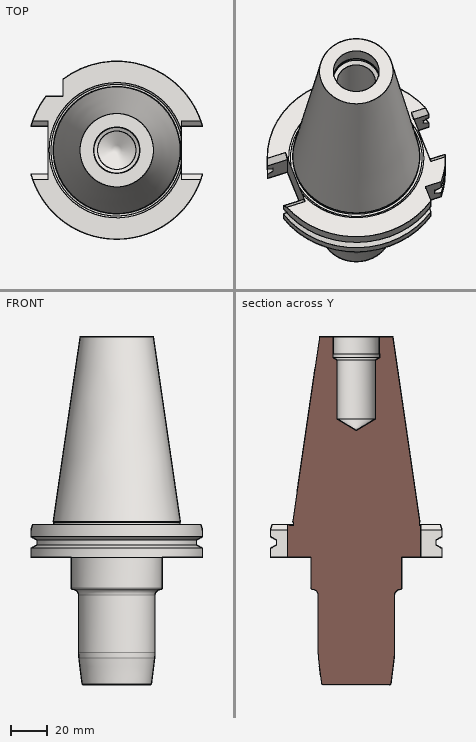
import cadquery as cq
import math


gauge_diameter = 69.85
taper_length = 101.75
taper_ratio = 7 / 24
taper_end_chamfer = 0.5
neck_diameter = 69.25

flange_diameter = 97.5
flange_top = -1.0
flange_bottom = -19.05
seat_relief_diameter = 74.0
seat_relief_floor_diameter = 72.0
seat_relief_depth = 0.5
groove_diameter = 91.25
groove_center = -10.9
groove_mouth = 6.3
groove_flank_angle = 30

slot_width = 26.0
slot_chamfer = 3.0
slot_floor_left = 37.7
slot_floor_right = 35.4
notch_x = 29.5
notch_y = 29.6

overall_length = 190.6
collar_diameter = 50.0
collar_shoulder = -36.7
collar_edge_radius = 1.0
nose_diameter = 42.0
nose_root_radius = (collar_diameter - nose_diameter) / 2 - collar_edge_radius
nose_taper_angle = 7.0
nose_taper_start = 17.8
nose_blend_radius = 25.0
nose_edge_radius = 1.0

pilot_diameter = 25.01
pilot_depth = 9.5
relief_diameter = 25.46
relief_depth = 11.5
lead_angle = 30
stud_hole_diameter = 21.0
stud_hole_depth = 45.0
drill_point_angle = 118

body_bottom = taper_length - overall_length


def radius_on_taper(height):
    return (gauge_diameter - taper_ratio * height) / 2


def make_body():
    """Revolve the outer profile, without the flange groove."""
    neck_radius = neck_diameter / 2
    flange_radius = flange_diameter / 2
    collar_radius = collar_diameter / 2
    nose_radius = nose_diameter / 2
    diagonal = math.sqrt(0.5)

    shoulder_radius = collar_radius - collar_edge_radius
    edge_mid = (
        shoulder_radius + collar_edge_radius * diagonal,
        collar_shoulder + collar_edge_radius * (1 - diagonal),
    )
    root_center_radius = nose_radius + nose_root_radius
    root_mid = (
        root_center_radius - nose_root_radius * diagonal,
        collar_shoulder - nose_root_radius * (1 - diagonal),
    )

    angle = math.radians(nose_taper_angle)
    blend_top = body_bottom + nose_taper_start
    blend_center = nose_radius - nose_blend_radius

    def blend_point(turn):
        return (
            blend_center + nose_blend_radius * math.cos(turn),
            blend_top - nose_blend_radius * math.sin(turn),
        )

    blend_end = blend_point(angle)
    bottom_center_z = body_bottom + nose_edge_radius
    cone_radius = blend_end[0] - (blend_end[1] - bottom_center_z) * math.tan(angle)
    bottom_center_radius = cone_radius - nose_edge_radius / math.cos(angle)

    def bottom_edge_point(turn):
        return (
            bottom_center_radius + nose_edge_radius * math.cos(turn),
            bottom_center_z - nose_edge_radius * math.sin(turn),
        )

    bottom_mid_turn = (angle + math.pi / 2) / 2

    return (
        cq.Workplane("XZ")
        .moveTo(0, taper_length)
        .lineTo(radius_on_taper(taper_length), taper_length)
        .lineTo(radius_on_taper(taper_end_chamfer), taper_end_chamfer)
        .lineTo(neck_radius, 0)
        .lineTo(neck_radius, flange_top - seat_relief_depth)
        .lineTo(seat_relief_floor_diameter / 2, flange_top - seat_relief_depth)
        .lineTo(seat_relief_diameter / 2, flange_top)
        .lineTo(flange_radius, flange_top)
        .lineTo(flange_radius, flange_bottom)
        .lineTo(collar_radius, flange_bottom)
        .lineTo(collar_radius, collar_shoulder + collar_edge_radius)
        .threePointArc(edge_mid, (shoulder_radius, collar_shoulder))
        .threePointArc(root_mid, (nose_radius, collar_shoulder - nose_root_radius))
        .lineTo(nose_radius, blend_top)
        .threePointArc(blend_point(angle / 2), blend_end)
        .lineTo(*bottom_edge_point(angle))
        .threePointArc(bottom_edge_point(bottom_mid_turn), (bottom_center_radius, body_bottom))
        .lineTo(0, body_bottom)
        .close()
        .revolve(360, (0, 0), (0, 1))
    )


def make_gripper_groove():
    """Ring with a trapezoidal section around the flange."""
    floor_radius = groove_diameter / 2
    mouth_radius = flange_diameter / 2
    flank_height = (mouth_radius - floor_radius) * math.tan(math.radians(groove_flank_angle))
    half_mouth = groove_mouth / 2
    half_floor = half_mouth - flank_height
    return (
        cq.Workplane("XZ")
        .moveTo(mouth_radius, groove_center + half_mouth)
        .lineTo(floor_radius, groove_center + half_floor)
        .lineTo(floor_radius, groove_center - half_floor)
        .lineTo(mouth_radius, groove_center - half_mouth)
        .close()
        .revolve(360, (0, 0), (0, 1))
    )


def make_driving_slot(side, floor_distance):
    """Slot through the flange on the side given by the sign, flared at its top edge."""
    half_width = slot_width / 2
    half_flare = half_width + slot_chamfer
    chamfer_bottom = flange_top - slot_chamfer
    return (
        cq.Workplane("YZ", origin=(side * floor_distance, 0, 0))
        .moveTo(-half_width, flange_bottom)
        .lineTo(half_width, flange_bottom)
        .lineTo(half_width, chamfer_bottom)
        .lineTo(half_flare, flange_top)
        .lineTo(-half_flare, flange_top)
        .lineTo(-half_width, chamfer_bottom)
        .close()
        .extrude(side * flange_diameter / 2)
    )


def make_orientation_notch():
    """Square corner cut through the flange in the -X, +Y quadrant."""
    size = flange_diameter / 2
    height = flange_top - flange_bottom
    return cq.Workplane("XY").box(size, size, height, centered=False).translate(
        (-notch_x - size, notch_y, flange_bottom)
    )


def make_stud_bore():
    """Stepped blind bore with a conical lead and a drill point."""
    pilot_radius = pilot_diameter / 2
    relief_radius = relief_diameter / 2
    hole_radius = stud_hole_diameter / 2
    lead_height = (relief_radius - hole_radius) * math.tan(math.radians(lead_angle))
    point_height = hole_radius / math.tan(math.radians(drill_point_angle / 2))
    pilot_end = taper_length - pilot_depth
    relief_end = taper_length - relief_depth
    hole_end = taper_length - stud_hole_depth
    return (
        cq.Workplane("XZ")
        .moveTo(0, taper_length)
        .lineTo(pilot_radius, taper_length)
        .lineTo(pilot_radius, pilot_end)
        .lineTo(relief_radius, pilot_end)
        .lineTo(relief_radius, relief_end)
        .lineTo(hole_radius, relief_end - lead_height)
        .lineTo(hole_radius, hole_end)
        .lineTo(0, hole_end - point_height)
        .close()
        .revolve(360, (0, 0), (0, 1))
    )


result = (
    make_body()
    .cut(make_gripper_groove())
    .cut(make_driving_slot(-1, slot_floor_left))
    .cut(make_driving_slot(1, slot_floor_right))
    .cut(make_orientation_notch())
    .cut(make_stud_bore())
)